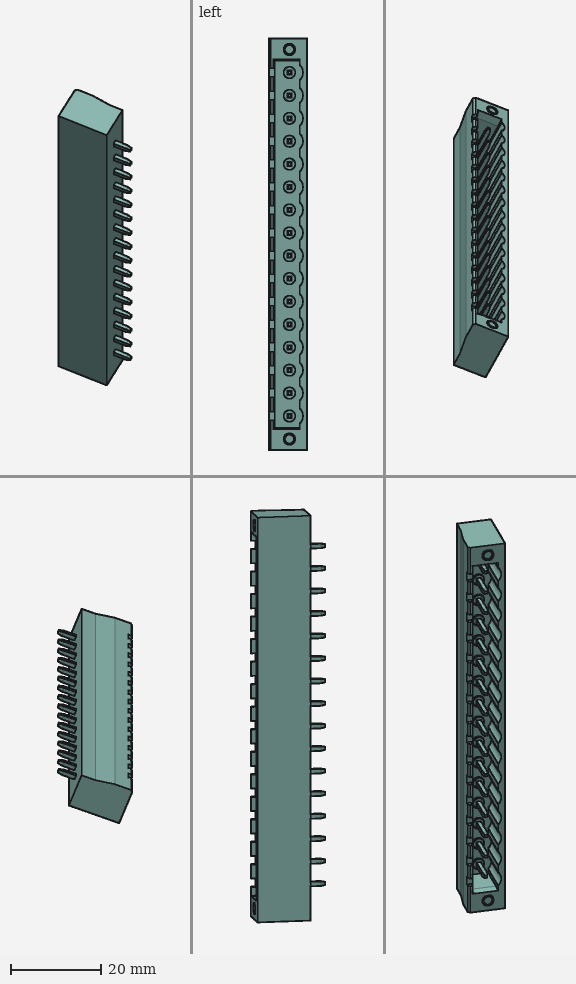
import cadquery as cq

LENGTH = 91.4
DEPTH = 12.0
THICKNESS = 8.5
BACK_THICKNESS = 7.9
FRONT_BEVEL = 0.5
SLOPE_START = 4.3
SLOPE_END = 8.7

PIN_COUNT = 16
PITCH = 5.08
PIN_Y = 3.9
PIN_SIDE = 1.0
PIN_TIP_SIDE = 0.6
PIN_TIP_LENGTH = 1.0
PIN_FRONT = 1.7
PIN_BACK = 16.0

POCKET_DEPTH = 8.4
POCKET_BOTTOM_Y = 1.65
POCKET_TOP_Y = 7.2
POCKET_LENGTH = 81.6
RIM_STEP = 0.3
RIM_DEPTH = 1.1
END_TAPER_DEPTH = 1.8
SCALLOP_BOTTOM_Y = 0.9
SCALLOP_RADIUS = 2.2
COLLAR_RADIUS = 1.3
COLLAR_HEIGHT = 0.5

NOTCH_WIDTH = 1.9

INSERT_OFFSET = 2.5
INSERT_RADIUS = 1.0
GROOVE_RADIUS = 1.3
GROOVE_DEPTH = 0.4

CENTER_Z = LENGTH / 2
pin_heights = [CENTER_Z + (i - (PIN_COUNT - 1) / 2) * PITCH for i in range(PIN_COUNT)]


def block(x_range, y_range, z_range):
    """Box spanning the given (start, end) ranges."""
    (x0, x1), (y0, y1), (z0, z1) = x_range, y_range, z_range
    return cq.Workplane("XY").box(x1 - x0, y1 - y0, z1 - z0, centered=False).translate((x0, y0, z0))


def rod(radius, x_start, x_end, y, z):
    """Cylinder along X."""
    plane = cq.Workplane("YZ", origin=(x_start, y, z))
    return plane.circle(radius).extrude(x_end - x_start)


def housing():
    """Profile with a bevelled front edge and a sloping top, extruded along the row."""
    profile = [
        (0, 0),
        (DEPTH, 0),
        (DEPTH, BACK_THICKNESS),
        (SLOPE_END, BACK_THICKNESS),
        (SLOPE_START, THICKNESS),
        (FRONT_BEVEL, THICKNESS),
        (0, THICKNESS - FRONT_BEVEL),
    ]
    return cq.Workplane("XY").polyline(profile).close().extrude(LENGTH)


def pocket_outline():
    """Pocket outline in the XZ plane, flaring out towards the front at both ends."""
    low = CENTER_Z - POCKET_LENGTH / 2
    high = CENTER_Z + POCKET_LENGTH / 2
    return [
        (0, low - RIM_STEP),
        (END_TAPER_DEPTH, low),
        (POCKET_DEPTH, low),
        (POCKET_DEPTH, high),
        (END_TAPER_DEPTH, high),
        (0, high + RIM_STEP),
    ]


def pocket():
    """Cavity with tapered ends, a stepped rim along its top and one scallop below each contact."""
    plane = cq.Workplane("XZ", origin=(0, POCKET_TOP_Y, 0))
    cavity = plane.polyline(pocket_outline()).close().extrude(POCKET_TOP_Y - POCKET_BOTTOM_Y)
    half_rim = POCKET_LENGTH / 2 + RIM_STEP
    rim_y = (POCKET_TOP_Y, POCKET_TOP_Y + RIM_STEP)
    cavity = cavity.union(block((0, RIM_DEPTH), rim_y, (CENTER_Z - half_rim, CENTER_Z + half_rim)))
    for z in pin_heights:
        cavity = cavity.union(rod(SCALLOP_RADIUS, 0, POCKET_DEPTH, SCALLOP_BOTTOM_Y + SCALLOP_RADIUS, z))
    return cavity


def notch(z):
    """Opening through the upper pocket wall, centred on a contact."""
    half = NOTCH_WIDTH / 2
    return block((0, RIM_DEPTH), (POCKET_TOP_Y, THICKNESS), (z - half, z + half))


def insert_groove(z):
    """Ring cut into the front face around an end insert."""
    plane = cq.Workplane("YZ", origin=(0, PIN_Y, z))
    return plane.circle(GROOVE_RADIUS).circle(INSERT_RADIUS).extrude(GROOVE_DEPTH)


def pin_tip(x_base, direction, z):
    """Square taper ending a contact; direction is +1 or -1 along X."""
    return (
        cq.Workplane("YZ", origin=(x_base, PIN_Y, z))
        .rect(PIN_SIDE, PIN_SIDE)
        .workplane(offset=direction * PIN_TIP_LENGTH)
        .rect(PIN_TIP_SIDE, PIN_TIP_SIDE)
        .loft(ruled=True)
    )


def contact(z):
    """Square pin with tapered tips and a round collar on the pocket floor."""
    start = PIN_FRONT + PIN_TIP_LENGTH
    end = PIN_BACK - PIN_TIP_LENGTH
    shank = cq.Workplane("YZ", origin=(start, PIN_Y, z)).rect(PIN_SIDE, PIN_SIDE).extrude(end - start)
    collar = rod(COLLAR_RADIUS, POCKET_DEPTH - COLLAR_HEIGHT, POCKET_DEPTH, PIN_Y, z)
    return shank.union(pin_tip(start, -1, z)).union(pin_tip(end, 1, z)).union(collar)


result = housing().cut(pocket())
for height in (INSERT_OFFSET, LENGTH - INSERT_OFFSET):
    result = result.cut(insert_groove(height))
for height in pin_heights:
    result = result.cut(notch(height)).union(contact(height))